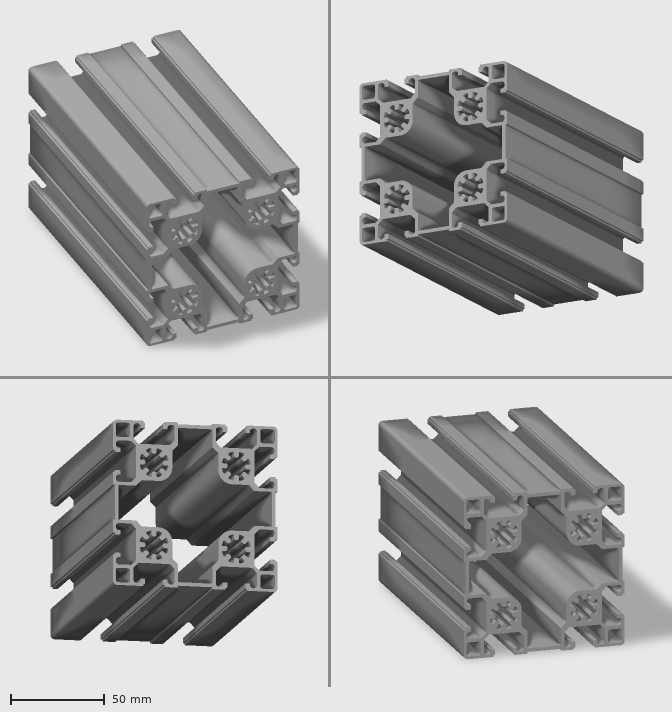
import cadquery as cq
import math

length = 150.0
side = 90.0
half_side = side / 2
core_offset = side / 4
corner_radius = 2.2

recess_half = 5.8
recess_depth = 1.0
mouth_half = 5.0
lip_depth = 4.0
lip_width = 2.4
rim_radius = 0.5
lip_radius = 0.3
hook_rise = 1.4
lip_wall = 1.5
slot_half = 11.2
slot_chamfer = 2.7
core_half = 9.9

web = 1.8
wall = 2.0
wall_recess = 1.0
channel_half = core_offset - slot_half - web
core_corner_radius = 7.5

chamber_skin = 1.5
chamber_size = 7.8
chamber_fillet = 1.2

tooth_count = 8
tooth_width = 2.7
tooth_tip_radius = 4.8
core_groove_radius = 8.1
tooth_tip_fillet = 1.0
tooth_root_fillet = 0.6

QUARTER_TURNS = [0, 90, 180, 270]


def turned(shape, angle):
    """Copy of a shape turned about the X axis."""
    return shape.rotate((0, 0, 0), (1, 0, 0), angle)


def on_end():
    """Sketching plane at one end: local x is Y, local y is Z."""
    return cq.Workplane("YZ", origin=(-length / 2, 0, 0))


def half_slot():
    """The +Y half of a top-face slot centred on Y = 0, with a hook groove behind its lip."""
    hook_half = mouth_half + lip_width
    hook_middle = (slot_half + hook_half) / 2
    groove_top = half_side - lip_wall
    hook_z = groove_top - hook_rise
    step_z = half_side - recess_depth
    lip_z = half_side - lip_depth
    floor_z = core_offset + core_half
    return (
        on_end()
        .moveTo(0, half_side)
        .lineTo(recess_half + rim_radius, half_side)
        .radiusArc((recess_half, half_side - rim_radius), -rim_radius)
        .lineTo(recess_half, step_z)
        .lineTo(mouth_half + lip_radius, step_z)
        .radiusArc((mouth_half, step_z - lip_radius), -lip_radius)
        .lineTo(mouth_half, lip_z + lip_radius)
        .radiusArc((mouth_half + lip_radius, lip_z), -lip_radius)
        .lineTo(hook_half, lip_z)
        .lineTo(hook_half, hook_z)
        .threePointArc((hook_middle, groove_top), (slot_half, hook_z))
        .lineTo(slot_half, floor_z + slot_chamfer)
        .lineTo(slot_half - slot_chamfer, floor_z)
        .lineTo(0, floor_z)
        .close()
        .extrude(length)
    )


def t_slot(center):
    """Whole T-slot in the top face at the given Y."""
    half = half_slot()
    return half.union(half.mirror("XZ")).translate((0, center, 0))


def hollow_quarter():
    """Quarter of the central hollow, bounded by the block around one screw core."""
    reach = half_side - wall_recess - wall
    near = core_offset - core_half
    far = core_offset + core_half
    web_chamfer = near - channel_half
    arc_center = near + core_corner_radius
    arc_middle = arc_center - core_corner_radius * math.sqrt(0.5)
    return (
        on_end()
        .moveTo(0, 0)
        .lineTo(reach, 0)
        .lineTo(reach, channel_half)
        .lineTo(far, channel_half)
        .lineTo(far - web_chamfer, near)
        .lineTo(arc_center, near)
        .threePointArc((arc_middle, arc_middle), (near, arc_center))
        .lineTo(near, far - web_chamfer)
        .lineTo(channel_half, far)
        .lineTo(channel_half, reach)
        .lineTo(0, reach)
        .close()
        .extrude(length)
    )


def face_recess():
    """Shallow recess with rounded rims over the plain wall of the top face."""
    floor_z = half_side - wall_recess
    rim_z = half_side - rim_radius
    rim_half = channel_half + rim_radius
    return (
        on_end()
        .moveTo(-rim_half, half_side)
        .radiusArc((-channel_half, rim_z), rim_radius)
        .lineTo(-channel_half, floor_z)
        .lineTo(channel_half, floor_z)
        .lineTo(channel_half, rim_z)
        .radiusArc((rim_half, half_side), rim_radius)
        .close()
        .extrude(length)
    )


def corner_chamber():
    """Square tunnel in a corner, with rounded corners."""
    middle = half_side - chamber_skin - chamber_size / 2
    return (
        on_end()
        .center(middle, middle)
        .rect(chamber_size, chamber_size)
        .extrude(length)
        .edges("|X")
        .fillet(chamber_fillet)
    )


def distance_from_axis(edge):
    """Distance from the X axis to the middle of an edge."""
    middle = edge.Center()
    return math.hypot(middle.y, middle.z)


def screw_core():
    """Bore with rounded teeth pointing at its centre."""
    root = core_half
    tooth_height = root - tooth_tip_radius
    tooth = (
        on_end()
        .center(tooth_tip_radius + tooth_height / 2, 0)
        .rect(tooth_height, tooth_width)
        .extrude(length)
    )
    bore = on_end().circle(core_groove_radius).extrude(length)
    for index in range(tooth_count):
        bore = bore.cut(turned(tooth, index * 360 / tooth_count))
    middle_radius = (tooth_tip_radius + core_groove_radius) / 2
    tips = bore.edges("|X").filter(lambda edge: distance_from_axis(edge) < middle_radius)
    bore = tips.fillet(tooth_tip_fillet)
    inner_limit = core_groove_radius - tooth_root_fillet
    roots = bore.edges("|X").filter(lambda edge: distance_from_axis(edge) > inner_limit)
    bore = roots.fillet(tooth_root_fillet)
    return bore.translate((0, core_offset, core_offset))


result = on_end().rect(side, side).extrude(length).edges("|X").fillet(corner_radius)

cutters = [
    t_slot(-core_offset),
    t_slot(core_offset),
    hollow_quarter(),
    face_recess(),
    corner_chamber(),
    screw_core(),
]
for cutter in cutters:
    for angle in QUARTER_TURNS:
        result = result.cut(turned(cutter, angle))